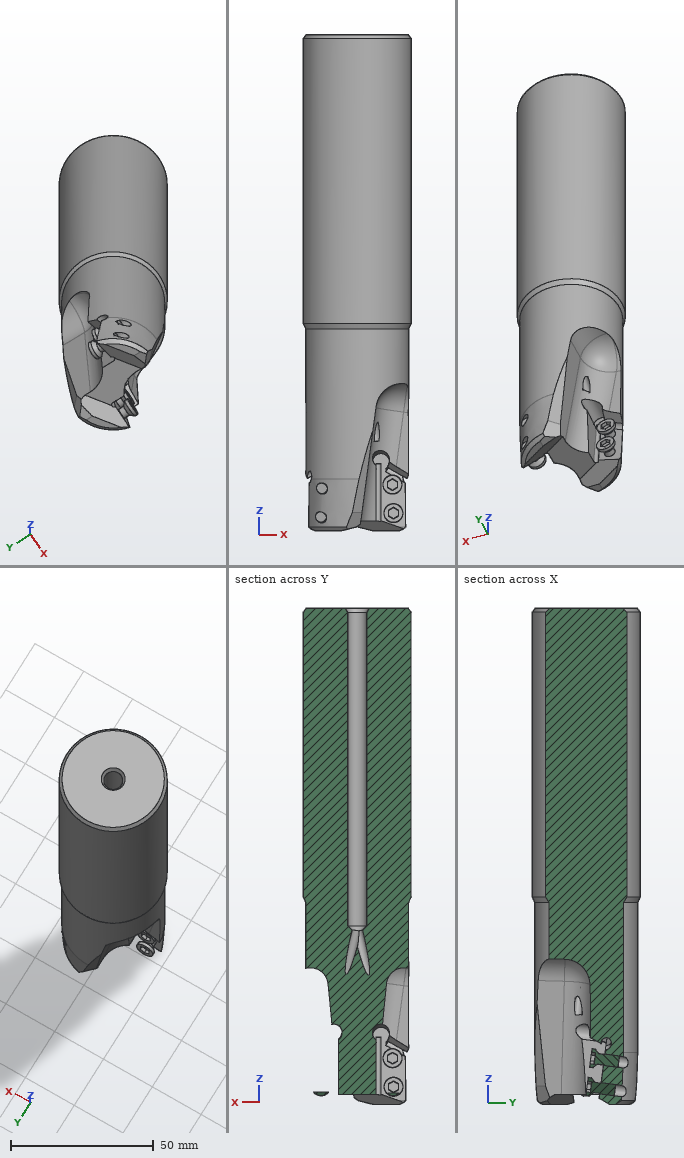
import cadquery as cq
import math

LENGTH = 174.5
SHANK_RADIUS = 19.0
SHANK_BOTTOM = 73.0
SHANK_CHAMFER = 1.0
SHANK_CHAMFER_HEIGHT = 1.4
NECK_TOP = 71.0
NECK_RADIUS = 18.1
HEAD_TOP = 18.3
HEAD_RADIUS = 17.6
RIM_CHAMFER = 1.4

TOOTH_ANGLES = (0, 180)
BEYOND = 26.2

FLUTE_CORNER = (0.9, 0.9)
FLUTE_TOP = 53.2
FLUTE_RADIUS = 9.8
FLUTE_LEAN = 7.6
FLUTE_TILT = 1.6

BEVEL_BOTTOM = cq.Vector(1.5, -12.9, 0)
BEVEL_TOP = cq.Vector(5.5, -17.1, 34.9)
HEEL_HEIGHT = 6.5
HEEL_DEPTH = 0.9

END_GROOVE_HALF_WIDTH = 5.5
END_GROOVE_DEPTH = 1.4

SEAT_Y = 4.2
SEAT_TILT = 7.5
SEAT_WALL_X = 6.6
SEAT_TOP_Z = 23.9
SEAT_TOP_SLOPE = 30.0
SEAT_TOP_RISE = 0.4
SEAT_CORNER_CUT = 2.1
CORNER_RELIEF_PLACE = (8.4, 0, 24.5)
CORNER_RELIEF_RADIUS = 3.0
WALL_RELIEF_RADIUS = 0.9
TOP_RELIEF_RADIUS = 1.7
TOP_RELIEF_PLACE = (10.8, 0, 22.5)

GASH_HEIGHT = 3.5
GASH_ANGLE = 33.0
GASH_SIDE_Y = -4.4
GASH_START_X = -17.5
GASH_END_X = 22.5
GASH_FLARE = 6.0

SCREW_PLACES = ((12.4, 15.9), (12.7, 5.8))
SCREW_RADIUS = 2.0
SCREW_HEAD_RADIUS = 3.3
SCREW_HEAD_HEIGHT = 4.7
SCREW_HEAD_RIM = 1.2
SCREW_DEPTH = 5.2
SOCKET_WIDTH = 3.5
SOCKET_DEPTH = 1.4

BORE_RADIUS = 3.3
BORE_MOUTH_RADIUS = 4.2
BORE_MOUTH_DEPTH = 1.5
BORE_BOTTOM = 62.8
BRANCH_RADIUS = 1.5
BRANCH_START = (0.0, 0.0, 62.1)
BRANCH_EXIT = (7.0, -2.8, 33.0)
BRANCH_LENGTH = 31.4


def cylinder(radius, length, start, direction):
    return cq.Workplane(cq.Solid.makeCylinder(radius, length, cq.Vector(*start), cq.Vector(*direction)))


def make_blank():
    return (
        cq.Workplane("XZ")
        .moveTo(0, 0)
        .lineTo(HEAD_RADIUS - RIM_CHAMFER, 0)
        .lineTo(HEAD_RADIUS, RIM_CHAMFER)
        .lineTo(NECK_RADIUS, HEAD_TOP)
        .lineTo(NECK_RADIUS, NECK_TOP)
        .lineTo(SHANK_RADIUS, SHANK_BOTTOM)
        .lineTo(SHANK_RADIUS, LENGTH - SHANK_CHAMFER_HEIGHT)
        .lineTo(SHANK_RADIUS - SHANK_CHAMFER, LENGTH)
        .lineTo(BORE_MOUTH_RADIUS, LENGTH)
        .lineTo(BORE_RADIUS, LENGTH - BORE_MOUTH_DEPTH)
        .lineTo(BORE_RADIUS, BORE_BOTTOM)
        .lineTo(0, BORE_BOTTOM - BORE_RADIUS)
        .close()
        .revolve(360, (0, 0, 0), (0, 1, 0))
    )


def flute_cutter():
    box = cq.Workplane("XY").box(2 * BEYOND, 2 * BEYOND, FLUTE_TOP + BEYOND, centered=False)
    box = box.translate((0, -2 * BEYOND, -BEYOND))
    box = box.edges("(<X and >Y) or (<X and >Z) or (>Y and >Z)").fillet(FLUTE_RADIUS)
    box = box.rotate((0, 0, 0), (0, 1, 0), FLUTE_LEAN)
    return box.rotate((0, 0, 0), (1, 0, 0), -FLUTE_TILT).translate((*FLUTE_CORNER, 0))


def leaning_wedge(bottom, top):
    """Right-angled wedge whose apex runs from bottom to top and which opens towards -Y."""
    reach = BEYOND / 2
    base = [bottom, bottom + cq.Vector(-reach, -reach, 0), bottom + cq.Vector(reach, -reach, 0)]
    wire = cq.Wire.makePolygon(base, close=True)
    return cq.Workplane(cq.Solid.extrudeLinear(wire, [], top - bottom))


def bevel_cutter():
    return leaning_wedge(BEVEL_BOTTOM, BEVEL_TOP)


def heel_cutter():
    heel_top = BEVEL_BOTTOM + (BEVEL_TOP - BEVEL_BOTTOM) * (HEEL_HEIGHT / BEVEL_TOP.z)
    heel_bottom = BEVEL_BOTTOM + cq.Vector(-HEEL_DEPTH, HEEL_DEPTH, 0)
    return leaning_wedge(heel_bottom, heel_top)


def end_groove_cutter():
    return (
        cq.Workplane("XZ")
        .polyline([(-END_GROOVE_HALF_WIDTH, 0), (END_GROOVE_HALF_WIDTH, 0), (0, END_GROOVE_DEPTH)])
        .close()
        .extrude(BEYOND, both=True)
    )


def on_seat(shape):
    """Lean a shape drawn on an upright seat (the XZ plane) into the seat's own tilt and place."""
    return shape.rotate((0, 0, 0), (1, 0, 0), -SEAT_TILT).translate((0, SEAT_Y, 0))


def seat_cutter():
    slope = math.radians(SEAT_TOP_SLOPE)
    top_end_z = SEAT_TOP_Z - BEYOND * math.tan(slope)
    depth = BEYOND / 2
    outline = cq.Wire.makePolygon(
        [
            cq.Vector(SEAT_WALL_X, 0, -BEYOND),
            cq.Vector(SEAT_WALL_X, 0, SEAT_TOP_Z - SEAT_CORNER_CUT),
            cq.Vector(SEAT_WALL_X + SEAT_CORNER_CUT, 0, SEAT_TOP_Z - SEAT_CORNER_CUT * math.tan(slope)),
            cq.Vector(SEAT_WALL_X + BEYOND, 0, top_end_z),
            cq.Vector(SEAT_WALL_X + BEYOND, 0, -BEYOND),
        ],
        close=True,
    )
    outward = cq.Vector(0, -depth, depth * SEAT_TOP_RISE)
    pocket = cq.Workplane(cq.Solid.extrudeLinear(outline, [], outward))
    wall_relief_place = (SEAT_WALL_X + WALL_RELIEF_RADIUS, 0, SEAT_TOP_Z)
    corner_relief = cylinder(CORNER_RELIEF_RADIUS, depth, CORNER_RELIEF_PLACE, (0, -1, 0))
    wall_relief = cylinder(WALL_RELIEF_RADIUS, SEAT_TOP_Z + BEYOND, wall_relief_place, (0, 0, -1))
    top_relief = cylinder(
        TOP_RELIEF_RADIUS, BEYOND, TOP_RELIEF_PLACE, (math.cos(slope), 0, -math.sin(slope))
    )
    return on_seat(pocket.union(corner_relief).union(wall_relief).union(top_relief))


def gash_cutter():
    def outline(flare):
        end_x = GASH_END_X + flare / math.tan(math.radians(GASH_ANGLE))
        end_y = GASH_SIDE_Y + (end_x - GASH_START_X) * math.tan(math.radians(GASH_ANGLE))
        return [(GASH_START_X, GASH_SIDE_Y), (end_x, GASH_SIDE_Y), (GASH_START_X, end_y)]

    return (
        cq.Workplane("XY")
        .polyline(outline(GASH_FLARE))
        .close()
        .workplane(offset=GASH_HEIGHT)
        .polyline(outline(0))
        .close()
        .loft(ruled=True)
    )


def screw_hole_cutter(place):
    x, height = place
    return on_seat(cylinder(SCREW_RADIUS, BEYOND, (x, 0, height), (0, 1, 0)))


def coolant_branch():
    direction = [end - start for start, end in zip(BRANCH_START, BRANCH_EXIT)]
    return cylinder(BRANCH_RADIUS, BRANCH_LENGTH, BRANCH_START, direction)


def make_holder():
    holder = make_blank().cut(end_groove_cutter())
    cutters = [
        flute_cutter(),
        bevel_cutter(),
        heel_cutter(),
        seat_cutter(),
        gash_cutter(),
        coolant_branch(),
    ]
    cutters += [screw_hole_cutter(place) for place in SCREW_PLACES]
    for angle in TOOTH_ANGLES:
        for cutter in cutters:
            holder = holder.cut(cutter.rotate((0, 0, 0), (0, 0, 1), angle))
    return holder


def make_screw(place):
    x, height = place
    cone_end = SCREW_HEAD_HEIGHT - SCREW_HEAD_RIM - (SCREW_HEAD_RADIUS - SCREW_RADIUS)
    screw = (
        cq.Workplane("XY")
        .polyline(
            [
                (0, SCREW_DEPTH),
                (SCREW_RADIUS, SCREW_DEPTH),
                (SCREW_RADIUS, -cone_end),
                (SCREW_HEAD_RADIUS, SCREW_HEAD_RIM - SCREW_HEAD_HEIGHT),
                (SCREW_HEAD_RADIUS, -SCREW_HEAD_HEIGHT),
                (0, -SCREW_HEAD_HEIGHT),
            ]
        )
        .close()
        .revolve(360, (0, 0, 0), (0, 1, 0))
    )
    socket = (
        cq.Workplane("XZ", origin=(0, SOCKET_DEPTH - SCREW_HEAD_HEIGHT, 0))
        .polygon(6, SOCKET_WIDTH, circumscribed=True)
        .extrude(SOCKET_DEPTH)
    )
    return on_seat(screw.cut(socket).translate((x, 0, height)))


holder = make_holder()
screws = [
    make_screw(place).rotate((0, 0, 0), (0, 0, 1), angle)
    for angle in TOOTH_ANGLES
    for place in SCREW_PLACES
]

result = cq.Compound.makeCompound([holder.val(), *[screw.val() for screw in screws]])